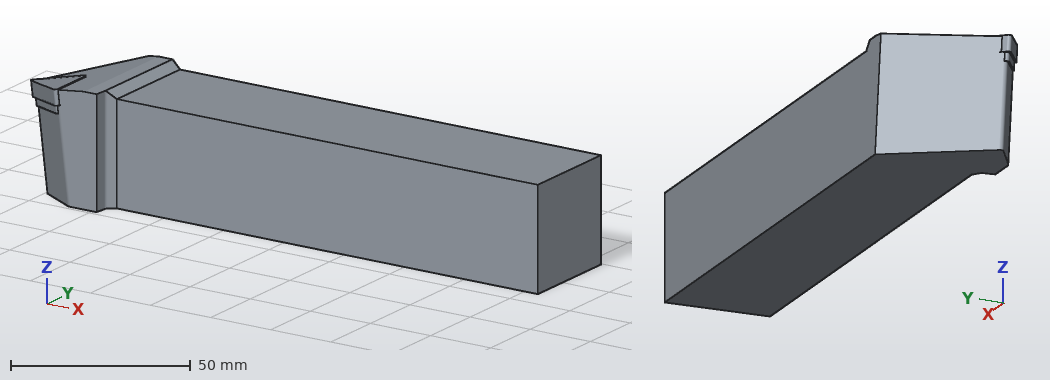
import cadquery as cq
import math

total_length = 169.2
shank_side = 32.0

head_top = 34.5
head_front_y = -6.0
ridge_x = 22.0
head_rear_x = 26.5
neck_end_x = 29.1
neck_side_y = -1.9
head_rear_front_x = 26.2
neck_rounding = 1.2
rake_angle = 6.8
rake = math.radians(rake_angle)

nose_u = 1.0
nose_y = 1.0
nose_rounding = 1.1
rear_flank_angle = 60.0
front_flank_angle = 30.0
front_corner_rounding = 2.2

insert_circle = 9.53
nose_radius = 0.8
insert_thickness = 4.7
insert_rise = 0.25
tip_y = 1.0
shim_thickness = 2.5
shim_inset = 0.5

reach = 101.5

top_plane = cq.Plane(
    origin=(0, 0, head_top - ridge_x * math.tan(rake)),
    xDir=(math.cos(rake), 0, math.sin(rake)),
    normal=(-math.sin(rake), 0, math.cos(rake)),
)


def triangle_plate(inset, top_depth, thickness):
    """Rounded triangular plate, set in from the insert outline, its top at a depth below the head top."""
    height = 1.5 * insert_circle - 3 * inset
    half_side = height * math.tan(math.radians(30))
    tip_u = -nose_radius + 2 * inset
    return (
        cq.Workplane(top_plane)
        .workplane(offset=-top_depth - thickness)
        .polyline([
            (tip_u, tip_y),
            (tip_u + height, tip_y - half_side),
            (tip_u + height, tip_y + half_side),
        ])
        .close()
        .extrude(thickness)
        .edges(cq.selectors.ParallelDirSelector(top_plane.zDir))
        .fillet(nose_radius)
    )


def round_edge_at(body, u, y, radius):
    """Round the leaning edge that passes through (u, y) of the sloping frame."""
    edge_middle = top_plane.toWorldCoords((u, y, 0))
    return body.edges(cq.selectors.NearestToPointSelector(edge_middle)).fillet(radius)


def make_head():
    """Head with leaning flanks, a sloping top and a neck that narrows into the shank."""
    rear_flank_u = nose_u + (shank_side - nose_y) / math.tan(math.radians(rear_flank_angle))
    front_corner_u = nose_u + (nose_y - head_front_y) / math.tan(math.radians(front_flank_angle))
    leaning_flanks = (
        cq.Workplane(top_plane)
        .workplane(offset=-reach)
        .polyline([
            (nose_u, nose_y),
            (front_corner_u, head_front_y),
            (reach, head_front_y),
            (reach, shank_side),
            (rear_flank_u, shank_side),
        ])
        .close()
        .extrude(2 * reach)
    )
    leaning_flanks = round_edge_at(leaning_flanks, nose_u, nose_y, nose_rounding)
    leaning_flanks = round_edge_at(
        leaning_flanks, front_corner_u, head_front_y, front_corner_rounding
    )
    side_profile = (
        cq.Workplane("XZ", origin=(0, shank_side, 0))
        .polyline([
            (0, 0),
            (neck_end_x, 0),
            (neck_end_x, shank_side),
            (head_rear_x, head_top),
            (ridge_x, head_top),
            (0, head_top - ridge_x * math.tan(rake)),
        ])
        .close()
        .extrude(shank_side - head_front_y)
    )
    plan_profile = (
        cq.Workplane("XY")
        .polyline([
            (0, head_front_y),
            (head_rear_front_x, head_front_y),
            (head_rear_x, neck_side_y),
            (neck_end_x, 0),
            (neck_end_x, shank_side),
            (0, shank_side),
        ])
        .close()
        .extrude(head_top)
        .edges(cq.selectors.NearestToPointSelector((head_rear_x, neck_side_y, head_top / 2)))
        .fillet(neck_rounding)
    )
    return leaning_flanks.intersect(side_profile).intersect(plan_profile)


def make_holder(insert):
    """Shank, head and shim in one piece, with the seat for the insert."""
    insert_front_x = insert.val().BoundingBox().xmin
    shank_end_x = total_length + insert_front_x
    shank = cq.Workplane("XY").box(
        shank_end_x - neck_end_x, shank_side, shank_side, centered=False
    ).translate((neck_end_x, 0, 0))
    shim = triangle_plate(shim_inset, insert_thickness - insert_rise, shim_thickness)
    return shank.union(make_head()).union(shim).cut(insert)


insert = triangle_plate(0, -insert_rise, insert_thickness)
holder = make_holder(insert)

result = cq.Compound.makeCompound([holder.val(), insert.val()])